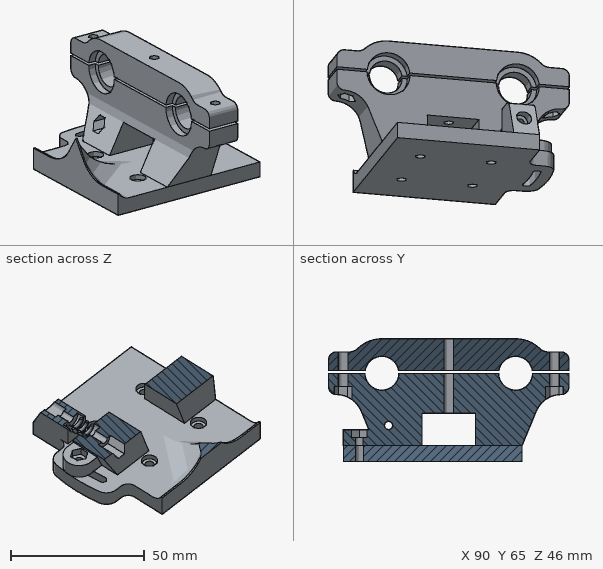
import cadquery as cq
import math

OVERALL_WIDTH = 90.0
OVERALL_HEIGHT = 46.0
PLATE_LENGTH = 65.0
PLATE_WIDTH = 55.0
PLATE_TOP = 6.0
HALF_PLATE = PLATE_WIDTH / 2
PLATE_FRONT = -PLATE_LENGTH / 2
PLATE_REAR = PLATE_LENGTH / 2
REACH = 180.0

SCREW_HOLE = 3.5
BOLT_HOLE = 3.0
NUT_FLATS = 5.8
NUT_CORNERS = NUT_FLATS / math.cos(math.radians(30))

MOUNT_SPACING = 27.45
MOUNT_COUNTERBORE = 6.0
MOUNT_COUNTERBORE_DEPTH = 2.0
TAB_HALF_LENGTH = 15.0
TAB_CORNER_RADIUS = 5.0
TAB_ROOT_RADIUS = 3.5
SLOT_ARC_RADIUS = 61.0
SLOT_WIDTH = 3.0
SLOT_HALF_LENGTH = 7.6

POST_WIDTH = 10.0
POST_TOP = 21.0
POST_FRONT = TAB_HALF_LENGTH
POST_SLOPE_RUN = (POST_TOP - PLATE_TOP) / 2
POST_ROUND = 5.0

BOLT_X = -HALF_PLATE + POST_WIDTH / 2
BOLT_Z = 13.5
BOLT_HEAD_BORE = 5.7
BOLT_HEAD_SEAT_Y = 23.0
SPRING_POCKET = 8.0
SPRING_POCKET_DEPTH = 3.0
SPRING_OUTER = 7.4
SPRING_WIRE = 1.4
SPRING_PITCH = 2.7
SPRING_TURNS = 3.5
SPRING_START_Y = 17.3

FIN_LENGTH = 27.2
FIN_REAR = PLATE_FRONT + FIN_LENGTH
FIN_HALF_ANGLE = math.radians(38.9)
FIN_HOLLOW_RADIUS = 15.0
FIN_HOLLOW_ARC = math.radians(63)
FIN_PEAK = 21.9
FIN_FRONT_SLOPE = 1.5
FIN_RIDGE_ROUND = 1.0
LIP_TOP = 8.55
LIP_FILLET = 5.0

CLAMP_REAR = 10.0
CLAMP_DEPTH = 13.05
CLAMP_FRONT = CLAMP_REAR - CLAMP_DEPTH
CLAMP_MID_Y = CLAMP_REAR - CLAMP_DEPTH / 2
HALF_CLAMP = OVERALL_WIDTH / 2
ROD_X = 25.0
ROD_Z = 33.0
ROD_BORE = 12.6
ROD_COUNTERBORE = 16.6
ROD_FRONT_SEAT_DEPTH = 3.0
ROD_REAR_SEAT_DEPTH = 4.0
ARM_TOP = ROD_Z
CAP_BOTTOM = 34.0
EAR_TOP = 41.0
EAR_BOTTOM = 25.0
EAR_CORNER_RADIUS = 3.0
EAR_HOLE_X = 39.5
EAR_NUT_DEPTH = 3.0
CAP_BLEND_RADIUS = 4.5

ARM_FLANK_RADIUS = 10.0
LEG_GAP = 20.0
LEG_TOP = 18.0
LEG_TOP_FRONT = CLAMP_FRONT - 0.5
LEG_TOE_Y = -10.0
BEND_TOP = 22.05
ARM_NUT_SEAT_Y = 1.0

BOSS_RADIUS = 6.0
BOSS_TOP = 12.0
BOSS_X = -33.5
BOSS_Y = CLAMP_REAR - BOSS_RADIUS
BOSS_NUT_DEPTH = 3.0


def box(x0, x1, y0, y1, z0, z1):
    return cq.Workplane("XY").box(x1 - x0, y1 - y0, z1 - z0, centered=False).translate((x0, y0, z0))


def upright_cylinder(diameter, x, y, z0, z1):
    return cq.Workplane("XY", origin=(x, y, z0)).circle(diameter / 2).extrude(z1 - z0)


def lengthwise_cylinder(diameter, x, z, y0, y1):
    """Cylinder along Y from y0 to the larger y1."""
    return cq.Workplane("XZ", origin=(x, y0, z)).circle(diameter / 2).extrude(y0 - y1)


def upright_nut(x, y, z0, z1, turn=0.0):
    """Hexagonal prism along Z; its corners point along X when turn is zero."""
    nut = cq.Workplane("XY").polygon(6, NUT_CORNERS).extrude(z1 - z0)
    return nut.rotate((0, 0, 0), (0, 0, 1), turn).translate((x, y, z0))



def swing_point(radius, y):
    """Point at a given Y on an arc about the middle of the plate's +X edge."""
    return (HALF_PLATE - math.sqrt(radius**2 - y**2), y)


def plate_tab():
    outer_radius = SLOT_ARC_RADIUS + BOSS_RADIUS
    low = swing_point(outer_radius, -TAB_HALF_LENGTH)
    high = swing_point(outer_radius, TAB_HALF_LENGTH)
    tab = (
        cq.Workplane("XY")
        .moveTo(0, -TAB_HALF_LENGTH)
        .lineTo(*low)
        .threePointArc(swing_point(outer_radius, 0), high)
        .lineTo(0, TAB_HALF_LENGTH)
        .close()
        .extrude(PLATE_TOP)
    )
    return tab.edges("|Z").edges("<X").fillet(TAB_CORNER_RADIUS)


def slot_cutter():
    inner = SLOT_ARC_RADIUS - SLOT_WIDTH / 2
    outer = SLOT_ARC_RADIUS + SLOT_WIDTH / 2
    end_angle = math.asin(SLOT_HALF_LENGTH / SLOT_ARC_RADIUS)

    def polar(radius, angle):
        return (HALF_PLATE - radius * math.cos(angle), radius * math.sin(angle))

    cap_angle = end_angle + SLOT_WIDTH / 2 / SLOT_ARC_RADIUS
    return (
        cq.Workplane("XY")
        .moveTo(*polar(outer, -end_angle))
        .threePointArc(polar(outer, 0), polar(outer, end_angle))
        .threePointArc(polar(SLOT_ARC_RADIUS, cap_angle), polar(inner, end_angle))
        .threePointArc(polar(inner, 0), polar(inner, -end_angle))
        .threePointArc(polar(SLOT_ARC_RADIUS, -cap_angle), polar(outer, -end_angle))
        .close()
        .extrude(PLATE_TOP)
    )


def plate_blank():
    body = box(-HALF_PLATE, HALF_PLATE, PLATE_FRONT, PLATE_REAR, 0, PLATE_TOP).union(plate_tab())
    for side in (-1, 1):
        root = (-HALF_PLATE, side * TAB_HALF_LENGTH, PLATE_TOP / 2)
        body = body.edges(cq.selectors.NearestToPointSelector(root)).fillet(TAB_ROOT_RADIUS)
    return body


def mount_hole_cutters():
    seat = PLATE_TOP - MOUNT_COUNTERBORE_DEPTH
    cutters = cq.Workplane("XY")
    for x in (-MOUNT_SPACING / 2, MOUNT_SPACING / 2):
        for y in (-MOUNT_SPACING / 2, MOUNT_SPACING / 2):
            cutters = cutters.union(upright_cylinder(SCREW_HOLE, x, y, 0, PLATE_TOP))
            cutters = cutters.union(upright_cylinder(MOUNT_COUNTERBORE, x, y, seat, PLATE_TOP))
    return cutters


def spring_post():
    profile = [
        (POST_FRONT, 0),
        (POST_FRONT, POST_TOP),
        (PLATE_REAR - POST_SLOPE_RUN, POST_TOP),
        (PLATE_REAR, PLATE_TOP),
        (PLATE_REAR, 0),
    ]
    post = cq.Workplane("YZ", origin=(-HALF_PLATE, 0, 0)).polyline(profile).close().extrude(POST_WIDTH)
    crest = (BOLT_X, PLATE_REAR - POST_SLOPE_RUN, POST_TOP)
    post = post.edges(cq.selectors.NearestToPointSelector(crest)).fillet(POST_ROUND)
    post = post.cut(lengthwise_cylinder(BOLT_HOLE, BOLT_X, BOLT_Z, POST_FRONT, PLATE_REAR))
    post = post.cut(lengthwise_cylinder(BOLT_HEAD_BORE, BOLT_X, BOLT_Z, BOLT_HEAD_SEAT_Y, PLATE_REAR))
    pocket_floor = POST_FRONT + SPRING_POCKET_DEPTH
    return post.cut(lengthwise_cylinder(SPRING_POCKET, BOLT_X, BOLT_Z, POST_FRONT, pocket_floor))


def hollow_arc_point(angle):
    """Distance from the hollow's edge line and height above the plate, at an angle round its cylinder."""
    return (FIN_HOLLOW_RADIUS * math.sin(angle), FIN_HOLLOW_RADIUS * (1 - math.cos(angle)))


def fin_hollow():
    """Space over the +X flank: a cylinder tangent to the plate, running on into a steep plane."""
    along = cq.Vector(math.sin(FIN_HALF_ANGLE), -math.cos(FIN_HALF_ANGLE), 0)
    across = cq.Vector(-math.cos(FIN_HALF_ANGLE), -math.sin(FIN_HALF_ANGLE), 0)
    tip = cq.Vector(0, FIN_REAR, PLATE_TOP)
    section_plane = cq.Plane(origin=tip + along * 3 * FIN_LENGTH, xDir=across, normal=-along)
    arc_end = hollow_arc_point(FIN_HOLLOW_ARC)
    top_across = arc_end[0] + (FIN_PEAK - arc_end[1]) / math.tan(FIN_HOLLOW_ARC)
    hollow = (
        cq.Workplane(section_plane)
        .moveTo(-PLATE_LENGTH, 0)
        .lineTo(0, 0)
        .threePointArc(hollow_arc_point(FIN_HOLLOW_ARC / 2), arc_end)
        .lineTo(top_across, FIN_PEAK)
        .lineTo(-PLATE_LENGTH, FIN_PEAK)
        .close()
        .extrude(4 * FIN_LENGTH)
    )
    hollow = hollow.intersect(box(-REACH, REACH, PLATE_FRONT, REACH, 0, REACH))
    return hollow.faces("<Y").edges("not(|Z)").edges("not(>Z)").fillet(LIP_FILLET)


def fin_front_outline():
    foot = (FIN_PEAK - LIP_TOP) / FIN_FRONT_SLOPE
    outline = [
        (-HALF_PLATE, 0),
        (-HALF_PLATE, LIP_TOP),
        (-foot, LIP_TOP),
        (0, FIN_PEAK),
        (foot, LIP_TOP),
        (HALF_PLATE, LIP_TOP),
        (HALF_PLATE, 0),
    ]
    solid = cq.Workplane("XZ", origin=(0, PLATE_FRONT, 0)).polyline(outline).close().extrude(-FIN_LENGTH)
    for x in (-foot, foot):
        corner = (x, PLATE_FRONT + FIN_LENGTH / 2, LIP_TOP)
        solid = solid.edges(cq.selectors.NearestToPointSelector(corner)).fillet(FIN_HOLLOW_RADIUS)
    return solid


def fin():
    hollow = fin_hollow()
    block = box(-HALF_PLATE, HALF_PLATE, PLATE_FRONT, FIN_REAR, 0, PLATE_TOP + FIN_PEAK)
    body = block.cut(hollow).cut(hollow.mirror("YZ"))
    ridge_across, ridge_height = hollow_arc_point(FIN_HOLLOW_ARC / 2)
    ridge_point = (0, FIN_REAR - ridge_across / math.sin(FIN_HALF_ANGLE), PLATE_TOP + ridge_height)
    body = body.edges(cq.selectors.NearestToPointSelector(ridge_point)).fillet(FIN_RIDGE_ROUND)
    return body.intersect(fin_front_outline())


def make_base():
    body = plate_blank().union(fin()).union(spring_post())
    return body.cut(slot_cutter()).cut(mount_hole_cutters())



def rod_cutters():
    cutters = cq.Workplane("XY")
    for x in (-ROD_X, ROD_X):
        cutters = cutters.union(lengthwise_cylinder(ROD_BORE, x, ROD_Z, CLAMP_FRONT, CLAMP_REAR))
        front_seat = CLAMP_FRONT + ROD_FRONT_SEAT_DEPTH
        cutters = cutters.union(lengthwise_cylinder(ROD_COUNTERBORE, x, ROD_Z, CLAMP_FRONT, front_seat))
        rear_seat = CLAMP_REAR - ROD_REAR_SEAT_DEPTH
        cutters = cutters.union(lengthwise_cylinder(ROD_COUNTERBORE, x, ROD_Z, rear_seat, CLAMP_REAR))
    return cutters


def clamp_screw_holes():
    holes = cq.Workplane("XY")
    for x in (-EAR_HOLE_X, 0, EAR_HOLE_X):
        holes = holes.union(upright_cylinder(SCREW_HOLE, x, CLAMP_MID_Y, LEG_TOP, OVERALL_HEIGHT))
    return holes


def make_cap():
    crown_radius = OVERALL_HEIGHT - ROD_Z
    blend_z = EAR_TOP + CAP_BLEND_RADIUS
    centre_distance = crown_radius + CAP_BLEND_RADIUS
    blend_x = ROD_X + math.sqrt(centre_distance**2 - (blend_z - ROD_Z) ** 2)
    blend_angle = math.atan2(blend_z - ROD_Z, blend_x - ROD_X)

    def on_crown(angle):
        return (ROD_X + crown_radius * math.cos(angle), ROD_Z + crown_radius * math.sin(angle))

    def on_blend(angle):
        return (blend_x - CAP_BLEND_RADIUS * math.cos(angle), blend_z - CAP_BLEND_RADIUS * math.sin(angle))

    half = (
        cq.Workplane("XZ", origin=(0, CLAMP_FRONT, 0))
        .moveTo(0, CAP_BOTTOM)
        .lineTo(0, OVERALL_HEIGHT)
        .lineTo(ROD_X, OVERALL_HEIGHT)
        .threePointArc(on_crown((math.pi / 2 + blend_angle) / 2), on_crown(blend_angle))
        .threePointArc(on_blend((math.pi / 2 + blend_angle) / 2), on_blend(math.pi / 2))
        .lineTo(HALF_CLAMP, EAR_TOP)
        .lineTo(HALF_CLAMP, CAP_BOTTOM)
        .close()
        .extrude(-CLAMP_DEPTH)
    )
    ear_corner = (HALF_CLAMP, CLAMP_MID_Y, EAR_TOP)
    half = half.edges(cq.selectors.NearestToPointSelector(ear_corner)).fillet(EAR_CORNER_RADIUS)
    cap = half.union(half.mirror("YZ"))
    return cap.cut(rod_cutters()).cut(clamp_screw_holes())


def arm_front_outline():
    """Outline across X: ears, then round flanks tangent to the sloping sides of the legs."""
    flank_x = HALF_CLAMP - EAR_CORNER_RADIUS
    flank_z = EAR_BOTTOM - ARM_FLANK_RADIUS
    dx = flank_x - HALF_PLATE
    dz = flank_z - PLATE_TOP
    side_angle = math.atan2(dz, dx) + math.asin(ARM_FLANK_RADIUS / math.hypot(dx, dz))

    def on_flank(angle):
        return (flank_x - ARM_FLANK_RADIUS * math.cos(angle), flank_z + ARM_FLANK_RADIUS * math.sin(angle))

    leg_end = math.pi / 2 - side_angle
    ear_turn = EAR_CORNER_RADIUS * math.sqrt(0.5)
    ear_mid = (flank_x + ear_turn, EAR_BOTTOM + EAR_CORNER_RADIUS - ear_turn)
    half = (
        cq.Workplane("XZ", origin=(0, CLAMP_REAR, 0))
        .moveTo(0, PLATE_TOP)
        .lineTo(HALF_PLATE, PLATE_TOP)
        .lineTo(*on_flank(leg_end))
        .threePointArc(on_flank((leg_end + math.pi / 2) / 2), on_flank(math.pi / 2))
        .threePointArc(ear_mid, (HALF_CLAMP, EAR_BOTTOM + EAR_CORNER_RADIUS))
        .lineTo(HALF_CLAMP, ARM_TOP)
        .lineTo(0, ARM_TOP)
        .close()
        .extrude(CLAMP_REAR - LEG_TOE_Y)
    )
    return half.union(half.mirror("YZ"))


def arm_side_outline():
    """Outline across Y: upright bar whose front bends out into the sloping legs."""
    return (
        cq.Workplane("YZ", origin=(-HALF_CLAMP, 0, 0))
        .moveTo(CLAMP_REAR, PLATE_TOP)
        .lineTo(CLAMP_REAR, ARM_TOP)
        .lineTo(CLAMP_FRONT, ARM_TOP)
        .lineTo(CLAMP_FRONT, BEND_TOP)
        .tangentArcPoint((LEG_TOP_FRONT, LEG_TOP), relative=False)
        .lineTo(LEG_TOE_Y, PLATE_TOP)
        .close()
        .extrude(OVERALL_WIDTH)
    )


def lock_boss():
    boss = upright_cylinder(2 * BOSS_RADIUS, BOSS_X, BOSS_Y, PLATE_TOP, BOSS_TOP)
    return boss.union(box(BOSS_X, BOLT_X, BOSS_Y - BOSS_RADIUS, CLAMP_REAR, PLATE_TOP, BOSS_TOP))


def make_arm():
    arm = arm_front_outline().intersect(arm_side_outline())
    arm = arm.cut(box(-LEG_GAP / 2, LEG_GAP / 2, LEG_TOE_Y, CLAMP_REAR, PLATE_TOP, LEG_TOP))
    arm = arm.union(lock_boss())
    arm = arm.cut(rod_cutters()).cut(clamp_screw_holes())
    for x in (-EAR_HOLE_X, EAR_HOLE_X):
        arm = arm.cut(upright_nut(x, CLAMP_MID_Y, LEG_TOP, EAR_BOTTOM + EAR_NUT_DEPTH))

    arm = arm.cut(upright_cylinder(BOLT_HOLE, BOSS_X, BOSS_Y, PLATE_TOP, BOSS_TOP))
    arm = arm.cut(upright_nut(BOSS_X, BOSS_Y, BOSS_TOP - BOSS_NUT_DEPTH, BOSS_TOP, turn=30))

    arm = arm.cut(lengthwise_cylinder(BOLT_HOLE, BOLT_X, BOLT_Z, LEG_TOE_Y, CLAMP_REAR))
    pocket_floor = CLAMP_REAR - SPRING_POCKET_DEPTH
    arm = arm.cut(lengthwise_cylinder(SPRING_POCKET, BOLT_X, BOLT_Z, pocket_floor, CLAMP_REAR))
    nut = cq.Workplane("XZ", origin=(BOLT_X, ARM_NUT_SEAT_Y, BOLT_Z)).polygon(6, NUT_CORNERS)
    return arm.cut(nut.extrude(ARM_NUT_SEAT_Y - LEG_TOE_Y))



def make_spring():
    """Right-handed coil along -Y, starting at its highest point."""
    mean_radius = (SPRING_OUTER - SPRING_WIRE) / 2
    helix = cq.Wire.makeHelix(SPRING_PITCH, SPRING_PITCH * SPRING_TURNS, mean_radius)
    wire_section = cq.Workplane("XZ", origin=(mean_radius, 0, 0)).circle(SPRING_WIRE / 2)
    coil = wire_section.sweep(cq.Workplane(helix), isFrenet=True)
    coil = coil.rotate((0, 0, 0), (0, 0, 1), 90).rotate((0, 0, 0), (1, 0, 0), 90)
    return coil.translate((BOLT_X, SPRING_START_Y, BOLT_Z))


base = make_base()
arm = make_arm()
cap = make_cap()
spring = make_spring()

result = cq.Compound.makeCompound([base.val(), arm.val(), cap.val(), spring.val()])